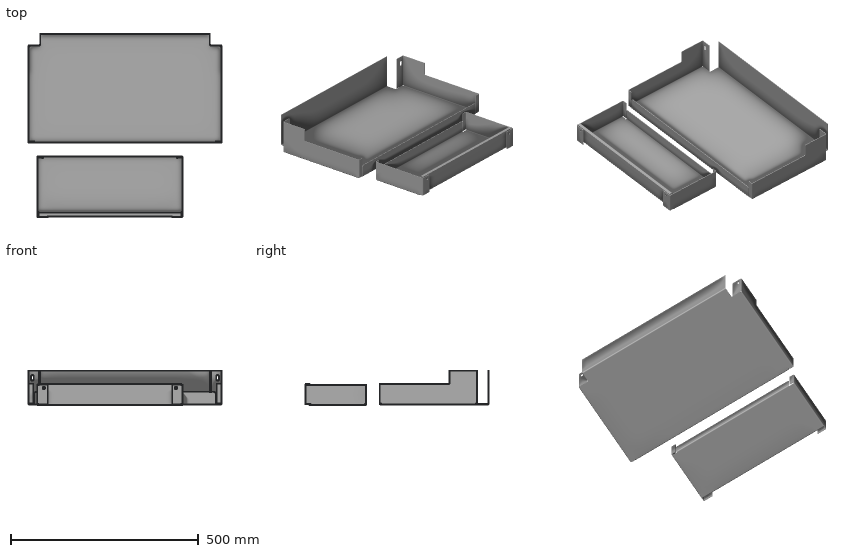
import cadquery as cq

sheet = 1.5
bend_outer = 3.0
bend_inner = bend_outer - sheet
wide_flange = 28.0
narrow_flange = 13.5
corner_gap = 2.0
relief_depth = 1.0
corner_radius = 5.0
notch_radius = 2.5
hole_diameter = 6.5

tray_width = 514.5
tray_depth = 290.0
tray_height = 90.0
tray_low_side = 55.0
tray_front_height = 33.5
tongue_length = 30.5
tongue_inset = 31.0
high_side_length = 74.0
slot_length = 14.5
slot_from_side = 10.5
slot_from_top = 19.0

drawer_width = 387.5
drawer_depth = 161.5
drawer_side_height = 54.5
drawer_rear_height = 33.0
drawer_front_height = 57.5
front_recess = 10.0
front_inset = 3.5
lip_setback = 1.2
drawer_hole_from_side = 18.0
drawer_hole_height = 46.0

total_depth = 487.75
drawer_offset_x = -40.2
drawer_drop = 1.85


def block(x_range, y_range, z_range):
    """Flat plate given by its limits along each axis."""
    size = [high - low for low, high in (x_range, y_range, z_range)]
    corner = (x_range[0], y_range[0], z_range[0])
    return cq.Workplane("XY").box(*size, centered=False).translate(corner)


def bend(center, start_direction, axis_direction, length):
    """Quarter-round bend turning 90 degrees from start_direction about axis_direction."""
    plane = cq.Plane(origin=center, xDir=start_direction, normal=axis_direction)
    outer = cq.Workplane(plane).circle(bend_outer).circle(bend_inner).extrude(length)
    quadrant = cq.Workplane(plane).rect(bend_outer, bend_outer, centered=False).extrude(length)
    return outer.intersect(quadrant)


def mirrored(left):
    """Left-hand feature together with its right-hand twin."""
    return left.union(left.mirror("YZ"))


def floor_plate(half_width, y_range):
    """Flat floor between the bends of the two side walls."""
    edge = half_width - bend_outer
    return block((-edge, edge), y_range, (0, sheet))


def side_bend(half_width, y_range):
    """Bend joining the floor to the left wall."""
    center = (-half_width + bend_outer, y_range[1], bend_outer)
    return bend(center, (-1, 0, 0), (0, -1, 0), y_range[1] - y_range[0])


def side_plate(half_width, y_range, height):
    """Upright part of the left wall."""
    return block((-half_width, -half_width + sheet), y_range, (bend_outer, height))


def left_flange(half_width, y_outer, facing, reach, height):
    """Flange turned inward from the left wall; facing is -1 at the front, 1 at the rear."""
    center_x = -half_width + bend_outer
    center = (center_x, y_outer - facing * bend_outer, bend_outer)
    start = (-1, 0, 0) if facing < 0 else (0, 1, 0)
    y_range = sorted((y_outer, y_outer - facing * sheet))
    plate = block((center_x, -half_width + reach), y_range, (bend_outer, height))
    return bend(center, start, (0, 0, 1), height - bend_outer).union(plate)


def end_wall(half_length, y_outer, facing, height):
    """Front (-1) or rear (1) wall with the bend that joins it to the floor."""
    center = (-facing * half_length, y_outer - facing * bend_outer, bend_outer)
    y_range = sorted((y_outer, y_outer - facing * sheet))
    wall = block((-half_length, half_length), y_range, (bend_outer, height))
    return wall, bend(center, (0, 0, -1), (facing, 0, 0), 2 * half_length)


def low_wall(half_width, y_outer, facing, height):
    """Wall between two narrow flanges with rounded upper corners."""
    half_length = half_width - narrow_flange - corner_gap
    wall, root = end_wall(half_length, y_outer, facing, height)
    return wall.edges("|Y and >Z").fillet(corner_radius).union(root)


def reliefs(half_width, y_outer, facing):
    """Slits at both ends of a low wall, run out into the floor."""
    start = -half_width + narrow_flange
    y_range = sorted((y_outer, y_outer - facing * (bend_outer + relief_depth)))
    return mirrored(block((start, start + corner_gap), y_range, (0, sheet)))


def build_tray():
    """Large tray with a stepped side height and slotted rear flanges."""
    half_width = tray_width / 2
    rear_flange_y = tray_depth - tongue_length
    wall_range = (bend_outer, rear_flange_y - bend_outer)
    step_y = rear_flange_y - high_side_length

    tongue_half = half_width - tongue_inset
    floor = floor_plate(half_width, (bend_outer, rear_flange_y))
    tongue_range = (rear_flange_y, tray_depth - bend_outer)
    floor = floor.union(block((-tongue_half, tongue_half), tongue_range, (0, sheet)))
    for side_x in (-tongue_half, tongue_half):
        root_point = (side_x, rear_flange_y, sheet / 2)
        floor = floor.edges(cq.selectors.NearestToPointSelector(root_point)).fillet(notch_radius)
    floor = floor.cut(reliefs(half_width, 0, -1))

    side = side_plate(half_width, wall_range, tray_height)
    cutout = block((-half_width, -half_width + sheet), (0, step_y), (tray_low_side, tray_height))
    side = side.cut(cutout.edges("|X and >Y and <Z").fillet(notch_radius))
    side = side.union(side_bend(half_width, wall_range))

    slot = (
        cq.Workplane("XZ", origin=(0, rear_flange_y, 0))
        .center(-half_width + slot_from_side, tray_height - slot_from_top)
        .slot2D(slot_length, hole_diameter, 90)
        .extrude(sheet)
    )
    rear_flange = left_flange(half_width, rear_flange_y, 1, wide_flange, tray_height).cut(slot)
    front_flange = left_flange(half_width, 0, -1, narrow_flange, tray_low_side)

    rear_wall, rear_bend = end_wall(tongue_half, tray_depth, 1, tray_height)
    tray = floor.union(mirrored(side.union(rear_flange).union(front_flange)))
    tray = tray.union(low_wall(half_width, 0, -1, tray_front_height))
    return tray.union(rear_bend).union(rear_wall)


def build_drawer():
    """Small tray with drilled front flanges and a lipped front wall."""
    half_width = drawer_width / 2
    wall_range = (bend_outer, drawer_depth - bend_outer)
    floor_range = (front_recess + bend_outer, drawer_depth - bend_outer)

    floor = floor_plate(half_width, floor_range).cut(reliefs(half_width, drawer_depth, 1))

    hole = (
        cq.Workplane("XZ")
        .center(-half_width + drawer_hole_from_side, drawer_hole_height)
        .circle(hole_diameter / 2)
        .extrude(-sheet)
    )
    front_flange = left_flange(half_width, 0, -1, wide_flange, drawer_side_height).cut(hole)
    rear_flange = left_flange(half_width, drawer_depth, 1, narrow_flange, drawer_side_height)
    side = side_plate(half_width, wall_range, drawer_side_height)
    side = side.union(side_bend(half_width, floor_range)).union(front_flange).union(rear_flange)

    front_half = half_width - front_inset
    lip_bend_z = drawer_front_height - bend_outer
    lip_bend_y = front_recess + sheet - bend_outer
    front_wall, front_bend = end_wall(front_half, front_recess, -1, lip_bend_z)
    lip_bend = bend((-front_half, lip_bend_y, lip_bend_z), (0, 1, 0), (1, 0, 0), 2 * front_half)
    lip = block(
        (-front_half, front_half),
        (lip_setback, lip_bend_y),
        (drawer_front_height - sheet, drawer_front_height),
    )

    drawer = floor.union(mirrored(side))
    drawer = drawer.union(front_bend).union(front_wall).union(lip_bend).union(lip)
    return drawer.union(low_wall(half_width, drawer_depth, 1, drawer_rear_height))


tray = build_tray()
drawer = build_drawer().translate((drawer_offset_x, tray_depth - total_depth, -drawer_drop))

result = cq.Compound.makeCompound([*tray.solids().vals(), *drawer.solids().vals()])